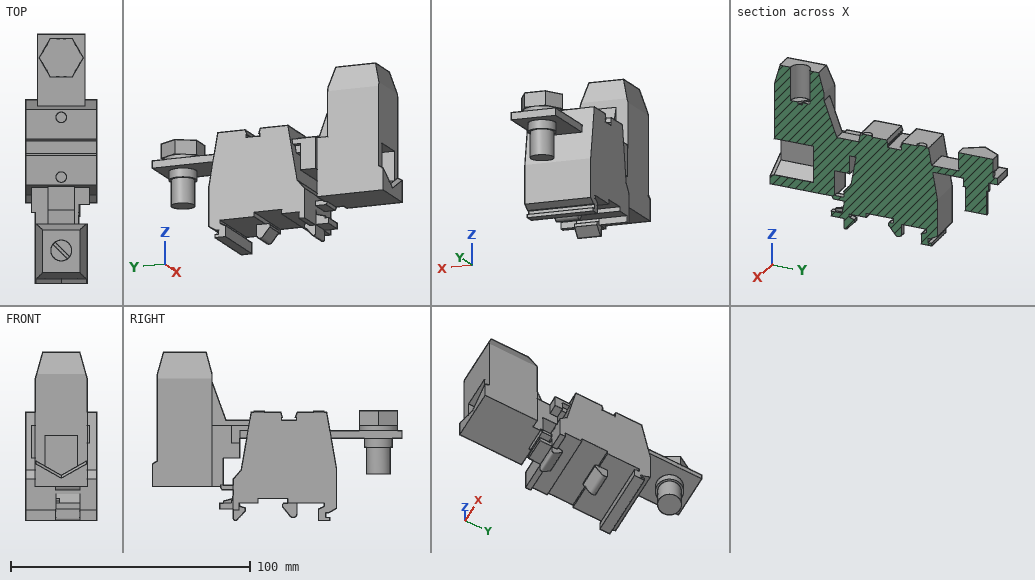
import cadquery as cq
import math


TOTAL_LENGTH = 104.39
TOTAL_HEIGHT = 70.45
BLOCK_WIDTH = 29.7
BAR_BACK_Y = 70.6
NOSE_Y = BAR_BACK_Y - TOTAL_LENGTH

BLOCK_BACK_Y = 43.2
BLOCK_TOP_Z = 45.4
BLOCK_TOP_FRONT_Y = 7.5
BLOCK_TOP_BACK_Y = 39.1
SHOULDER_Z = 21.2
SHOULDER_Y = 3.3
FRONT_FACE_TOP_Z = 17.4
BACK_FACE_TOP_Z = 22.0
UNDERSIDE_Z = 7.3
FRONT_FOOT_Z = 4.5
FRONT_FOOT_DEPTH = 2.5
RECESS_Z = 9.2
RECESS_FRONT_Y = 10.4
RECESS_BACK_Y = 22.7

HOOK_FRONT_Y = 35.6
HOOK_TOE_Y = 40.4
HOOK_TOE_Z = 1.4
HOOK_NECK_Y = 38.75
HOOK_NECK_Z = 3.2
RAIL_HOOK = [
    (38.0, UNDERSIDE_Z),
    (38.0, 6.0),
    (HOOK_FRONT_Y, 4.8),
    (HOOK_FRONT_Y, 0),
    (HOOK_TOE_Y, 0),
    (HOOK_TOE_Y, HOOK_TOE_Z),
    (HOOK_NECK_Y, HOOK_TOE_Z),
    (HOOK_NECK_Y, HOOK_NECK_Z),
    (39.9, HOOK_NECK_Z),
    (BLOCK_BACK_Y, 5.15),
]

GROOVE_FRONT_Y = 19.9
GROOVE_BACK_Y = 26.8
GROOVE_FLOOR_Z = 42.0
GROOVE_LIP_Z = 43.2
GROOVE_BACK_LIP = 0.9
GROOVE_BACK_UNDERCUT = 0.5
GROOVE_FRONT_LIP = 0.7
GROOVE_FRONT_UNDERCUT = 0.4

BUTTON_DIAMETER = 4.4
BUTTON_HEIGHT = 0.55
BUTTON_YS = (10.8, 35.8)

LATCH_LEFT_X = -2.4
LATCH_RIGHT_X = 7.8
LATCH_WIDTH = LATCH_RIGHT_X - LATCH_LEFT_X
TOOTH_TIP_FRONT_Z = 0.9
TOOTH_TIP_MIDDLE = (0.8, 0.03)
TOOTH_TIP_BACK = (1.6, 0.4)
TOOTH_BACK_Y = 5.05
TOOTH_EDGE_BOTTOM_Z = 4.0
TOOTH_EDGE_TOP_Z = 5.35
TOOTH_ROOT = (2.9, 5.95)
SPRING_BACK_Y = 26.7
SPRING_TIP_BACK_Z = 2.8
SPRING_TIP_MIDDLE = (25.2, 1.3)
SPRING_TIP_FRONT = (23.9, 1.7)
SPRING_NOSE_Y = 20.6
SPRING_NOSE_BOTTOM_Z = 5.8
SPRING_NOSE_CHAMFER = 0.5
LEVER_LEFT_X = -2.1
LEVER_TOP_Z = 11.1
LEVER_LEDGE_TOP_Z = UNDERSIDE_Z
LEVER_LEDGE_BOTTOM_Z = 4.8
LEVER_LEDGE_Y = -5.7
LEVER_FACE_LEAN = 0.9
RIB_WIDTH = 1.3
RIB_FRONT_Y = -4.1
RIB_BACK_TOP_Z = 9.2
RIB_FRONT_TOP_Z = 8.2
PIN_TOP_Z = 14.9
PIN_BOTTOM_Z = 12.9
PIN_TIP_Y = -5.4
PIN_BOTTOM_Y = -4.7
PIN_TIP_MIDDLE = (-5.2, 13.8)

BAR_WIDTH = 20.0
BAR_BOTTOM_Z = 34.4
BAR_TOP_Z = 37.6

BOLT_Y = 60.7
HEX_FLATS = 16.0
HEX_TOP_Z = 46.05
WASHER_DIAMETER = 16.0
WASHER_TOP_Z = 39.8
COLLAR_DIAMETER = 11.8
COLLAR_BOTTOM_Z = 30.6
SHANK_DIAMETER = 10.0
SHANK_BOTTOM_Z = 19.5

CARRIER_TOP_Z = WASHER_TOP_Z
CARRIER_LEFT_X = -12.5
CARRIER_RIGHT_X = 11.9
CARRIER_BOTTOM_Z = 26.15
CARRIER_BACK_Y = 2.8
CARRIER_EAR_Y = -0.75
CARRIER_EAR_BOTTOM_Z = 32.4
CARRIER_FRONT_Y = -4.1
CARRIER_NECK_X = 7.4

HOUSING_WIDTH = 21.8
HOUSING_FRONT_Y = -31.8
HOUSING_BACK_Y = -8.8
HOUSING_BOTTOM_Z = 14.2
CROWN_WIDTH = 15.6
CROWN_FRONT_Y = -29.2
CROWN_BACK_Y = -11.3
SIDE_BEVEL_Z = 59.35
END_BEVEL_Z = 61.2

GUSSET_WIDTH = 11.0
GUSSET_FOOT_TOP_Z = 42.0
GUSSET_TOP_Z = 57.9
GUSSET_FOOT_Y = -3.0

ENTRY_WIDTH = 13.6
ENTRY_TOP_Z = 35.6
ENTRY_DEPTH = 18.0
CHIN_DROP = 1.2
V_TOP_Z = 24.95
V_BOTTOM_Z = 18.95
V_HALF_WIDTH = 10.6

SCREW_Y = -19.9
SCREW_HOLE_DIAMETER = 8.7
SCREW_HEAD_Z = 55.0
SCREW_SLOT_WIDTH = 1.25
SCREW_SLOT_DEPTH = 1.0
SCREW_SLOT_ANGLE = -45

MARGIN = 1.0
EMBED = 2.0


def box(x0, x1, y0, y1, z0, z1):
    """Box between two opposite corners."""
    return cq.Workplane("XY").box(x1 - x0, y1 - y0, z1 - z0, centered=False).translate((x0, y0, z0))


def cylinder(y, diameter, z0, z1):
    """Upright cylinder on the middle plane X = 0."""
    return cq.Workplane("XY", origin=(0, y, z0)).circle(diameter / 2).extrude(z1 - z0)


def side_prism(points, x0, x1):
    """Prism with a (Y, Z) outline, running from x0 to x1."""
    return cq.Workplane("YZ", origin=(x0, 0, 0)).polyline(points).close().extrude(x1 - x0)


def slanted_prism(points, y, direction):
    """Prism with an (X, Z) outline in the plane Y = y, swept along a vector."""
    wire = cq.Wire.makePolygon([cq.Vector(x, y, z) for x, z in points], close=True)
    return cq.Workplane(obj=cq.Solid.extrudeLinear(wire, [], cq.Vector(*direction)))


def support_block():
    """Block of one side outline, with the marker groove and two buttons on top."""
    outline = [
        (BLOCK_TOP_FRONT_Y, BLOCK_TOP_Z),
        (SHOULDER_Y, SHOULDER_Z),
        (0, FRONT_FACE_TOP_Z),
        (0, FRONT_FOOT_Z),
        (FRONT_FOOT_DEPTH, FRONT_FOOT_Z),
        (FRONT_FOOT_DEPTH, UNDERSIDE_Z),
        (RECESS_FRONT_Y, UNDERSIDE_Z),
        (RECESS_FRONT_Y, RECESS_Z),
        (RECESS_BACK_Y, RECESS_Z),
        (RECESS_BACK_Y, UNDERSIDE_Z),
        *RAIL_HOOK,
        (BLOCK_BACK_Y, BACK_FACE_TOP_Z),
        (BLOCK_TOP_BACK_Y, BLOCK_TOP_Z),
    ]
    back_tip_y = GROOVE_BACK_Y - GROOVE_BACK_LIP
    back_wall_y = back_tip_y + GROOVE_BACK_UNDERCUT
    front_tip_y = GROOVE_FRONT_Y + GROOVE_FRONT_LIP
    front_wall_y = front_tip_y - GROOVE_FRONT_UNDERCUT
    groove = [
        (GROOVE_BACK_Y, BLOCK_TOP_Z),
        (back_tip_y, GROOVE_LIP_Z),
        (back_wall_y, GROOVE_LIP_Z),
        (back_wall_y, GROOVE_FLOOR_Z),
        (front_wall_y, GROOVE_FLOOR_Z),
        (front_wall_y, GROOVE_LIP_Z),
        (front_tip_y, GROOVE_LIP_Z),
        (GROOVE_FRONT_Y, BLOCK_TOP_Z),
    ]
    half_width = BLOCK_WIDTH / 2
    block = side_prism(outline, -half_width, half_width)
    block = block.cut(side_prism(groove, -half_width, half_width))
    for y in BUTTON_YS:
        block = block.union(cylinder(y, BUTTON_DIAMETER, BLOCK_TOP_Z - MARGIN, BLOCK_TOP_Z + BUTTON_HEIGHT))
    return block


def latch_profile(start):
    """Sketch in the side plane at the left face of the latch parts."""
    return cq.Workplane("YZ", origin=(LATCH_LEFT_X, 0, 0)).moveTo(*start)


def latch_tooth():
    """Front tooth that snaps under the rail."""
    return (
        latch_profile((0, UNDERSIDE_Z))
        .lineTo(0, TOOTH_TIP_FRONT_Z)
        .threePointArc(TOOTH_TIP_MIDDLE, TOOTH_TIP_BACK)
        .lineTo(TOOTH_BACK_Y, TOOTH_EDGE_BOTTOM_Z)
        .lineTo(TOOTH_BACK_Y, TOOTH_EDGE_TOP_Z)
        .lineTo(*TOOTH_ROOT)
        .lineTo(FRONT_FOOT_DEPTH, UNDERSIDE_Z)
        .close()
        .extrude(LATCH_WIDTH)
    )


def spring_hook():
    """Hook with a rounded tip below the middle of the block."""
    embedded_z = UNDERSIDE_Z + MARGIN
    return (
        latch_profile((SPRING_BACK_Y, embedded_z))
        .lineTo(SPRING_BACK_Y, SPRING_TIP_BACK_Z)
        .threePointArc(SPRING_TIP_MIDDLE, SPRING_TIP_FRONT)
        .lineTo(SPRING_NOSE_Y, SPRING_NOSE_BOTTOM_Z)
        .lineTo(SPRING_NOSE_Y, UNDERSIDE_Z - SPRING_NOSE_CHAMFER)
        .lineTo(SPRING_NOSE_Y + SPRING_NOSE_CHAMFER, UNDERSIDE_Z)
        .lineTo(RECESS_BACK_Y, UNDERSIDE_Z)
        .lineTo(RECESS_BACK_Y, embedded_z)
        .close()
        .extrude(LATCH_WIDTH)
    )


def latch_pin():
    """Flat pin with a rounded end above the release lever."""
    return (
        latch_profile((EMBED, PIN_TOP_Z))
        .lineTo(PIN_TIP_Y, PIN_TOP_Z)
        .threePointArc(PIN_TIP_MIDDLE, (PIN_BOTTOM_Y, PIN_BOTTOM_Z))
        .lineTo(EMBED, PIN_BOTTOM_Z)
        .close()
        .extrude(LATCH_WIDTH)
    )


def release_lever():
    lever_outline = [
        (EMBED, LEVER_TOP_Z),
        (0, LEVER_TOP_Z),
        (-LEVER_FACE_LEAN, LEVER_LEDGE_TOP_Z),
        (LEVER_LEDGE_Y, LEVER_LEDGE_TOP_Z),
        (LEVER_LEDGE_Y, LEVER_LEDGE_BOTTOM_Z),
        (EMBED, LEVER_LEDGE_BOTTOM_Z),
    ]
    rib_outline = [
        (0, RIB_BACK_TOP_Z),
        (-LEVER_FACE_LEAN / 2, RIB_BACK_TOP_Z),
        (RIB_FRONT_Y, RIB_FRONT_TOP_Z),
        (RIB_FRONT_Y, LEVER_LEDGE_TOP_Z),
        (0, LEVER_LEDGE_TOP_Z),
    ]
    lever = side_prism(lever_outline, LEVER_LEFT_X, LATCH_RIGHT_X)
    return lever.union(side_prism(rib_outline, LEVER_LEFT_X, LEVER_LEFT_X + RIB_WIDTH))


def busbar_with_bolt():
    """Flat bar with a hexagon bolt, washer and collar near its back end."""
    half_width = BAR_WIDTH / 2
    bar = box(-half_width, half_width, CARRIER_BACK_Y, BAR_BACK_Y, BAR_BOTTOM_Z, BAR_TOP_Z)
    hex_corners = HEX_FLATS / math.cos(math.pi / 6)
    head = (
        cq.Workplane("XY", origin=(0, BOLT_Y, WASHER_TOP_Z))
        .polygon(6, hex_corners)
        .extrude(HEX_TOP_Z - WASHER_TOP_Z)
    )
    washer = cylinder(BOLT_Y, WASHER_DIAMETER, BAR_TOP_Z, WASHER_TOP_Z)
    collar = cylinder(BOLT_Y, COLLAR_DIAMETER, COLLAR_BOTTOM_Z, BAR_BOTTOM_Z)
    shank = cylinder(BOLT_Y, SHANK_DIAMETER, SHANK_BOTTOM_Z, BAR_TOP_Z)
    return bar.union(head).union(washer).union(collar).union(shank)


def terminal_carrier():
    block_inside_y = BLOCK_TOP_FRONT_Y + EMBED
    plate = box(CARRIER_LEFT_X, CARRIER_RIGHT_X, CARRIER_EAR_Y, block_inside_y, BAR_TOP_Z, CARRIER_TOP_Z)
    ear = box(
        CARRIER_NECK_X, CARRIER_RIGHT_X, CARRIER_EAR_Y, CARRIER_BACK_Y, CARRIER_EAR_BOTTOM_Z, CARRIER_TOP_Z
    )
    body = box(
        CARRIER_LEFT_X, CARRIER_NECK_X, CARRIER_FRONT_Y, CARRIER_BACK_Y, CARRIER_BOTTOM_Z, CARRIER_TOP_Z
    )
    neck = box(
        -HOUSING_WIDTH / 2, CARRIER_NECK_X, HOUSING_BACK_Y, CARRIER_FRONT_Y, HOUSING_BOTTOM_Z, CARRIER_TOP_Z
    )
    return plate.union(ear).union(body).union(neck)


def gusset():
    outline = [
        (HOUSING_BACK_Y, CARRIER_TOP_Z),
        (BLOCK_TOP_FRONT_Y + EMBED, CARRIER_TOP_Z),
        (BLOCK_TOP_FRONT_Y + EMBED, GUSSET_FOOT_TOP_Z),
        (GUSSET_FOOT_Y, GUSSET_FOOT_TOP_Z),
        (HOUSING_BACK_Y, GUSSET_TOP_Z),
    ]
    return side_prism(outline, -GUSSET_WIDTH / 2, GUSSET_WIDTH / 2)


def clamp_housing():
    half_width = HOUSING_WIDTH / 2
    half_crown = CROWN_WIDTH / 2
    side_outline = [
        (HOUSING_BACK_Y, HOUSING_BOTTOM_Z),
        (HOUSING_BACK_Y, END_BEVEL_Z),
        (CROWN_BACK_Y, TOTAL_HEIGHT),
        (CROWN_FRONT_Y, TOTAL_HEIGHT),
        (HOUSING_FRONT_Y, END_BEVEL_Z),
        (HOUSING_FRONT_Y, HOUSING_BOTTOM_Z),
    ]
    front_outline = [
        (-half_width, HOUSING_BOTTOM_Z),
        (-half_width, SIDE_BEVEL_Z),
        (-half_crown, TOTAL_HEIGHT),
        (half_crown, TOTAL_HEIGHT),
        (half_width, SIDE_BEVEL_Z),
        (half_width, HOUSING_BOTTOM_Z),
    ]
    length = HOUSING_BACK_Y - HOUSING_FRONT_Y
    housing = side_prism(side_outline, -half_width, half_width)
    housing = housing.intersect(slanted_prism(front_outline, HOUSING_FRONT_Y, (0, length, 0)))
    return housing.union(chin()).cut(wire_entry()).cut(screw_hole())


def chin():
    """Lip below the wire entry; its V-shaped top falls away to the front."""
    half_width = HOUSING_WIDTH / 2
    outline = [
        (-half_width, HOUSING_BOTTOM_Z),
        (-half_width, V_TOP_Z),
        (-V_HALF_WIDTH, V_TOP_Z),
        (0, V_BOTTOM_Z),
        (V_HALF_WIDTH, V_TOP_Z),
        (half_width, V_TOP_Z),
        (half_width, HOUSING_BOTTOM_Z),
    ]
    reach = NOSE_Y - HOUSING_FRONT_Y
    sloped = slanted_prism(outline, HOUSING_FRONT_Y, (0, reach, -CHIN_DROP))
    below = box(-half_width, half_width, NOSE_Y, HOUSING_FRONT_Y, 0, HOUSING_BOTTOM_Z)
    return sloped.cut(below)


def wire_entry():
    half_width = ENTRY_WIDTH / 2
    corner_z = V_BOTTOM_Z + (V_TOP_Z - V_BOTTOM_Z) * half_width / V_HALF_WIDTH
    outline = [
        (-half_width, ENTRY_TOP_Z),
        (-half_width, corner_z),
        (0, V_BOTTOM_Z),
        (half_width, corner_z),
        (half_width, ENTRY_TOP_Z),
    ]
    return slanted_prism(outline, HOUSING_FRONT_Y, (0, ENTRY_DEPTH, 0))


def screw_hole():
    """Access hole down to the clamp screw head, with the driver slot across the head."""
    hole = cylinder(SCREW_Y, SCREW_HOLE_DIAMETER, SCREW_HEAD_Z, TOTAL_HEIGHT + MARGIN)
    slot = (
        cq.Workplane("XY", origin=(0, SCREW_Y, SCREW_HEAD_Z - SCREW_SLOT_DEPTH))
        .transformed(rotate=(0, 0, SCREW_SLOT_ANGLE))
        .rect(SCREW_HOLE_DIAMETER, SCREW_SLOT_WIDTH)
        .extrude(SCREW_SLOT_DEPTH)
        .intersect(cylinder(SCREW_Y, SCREW_HOLE_DIAMETER, SCREW_HEAD_Z - SCREW_SLOT_DEPTH, SCREW_HEAD_Z))
    )
    return hole.union(slot)


result = (
    support_block()
    .union(latch_tooth())
    .union(spring_hook())
    .union(latch_pin())
    .union(release_lever())
    .union(busbar_with_bolt())
    .union(terminal_carrier())
    .union(gusset())
    .union(clamp_housing())
)